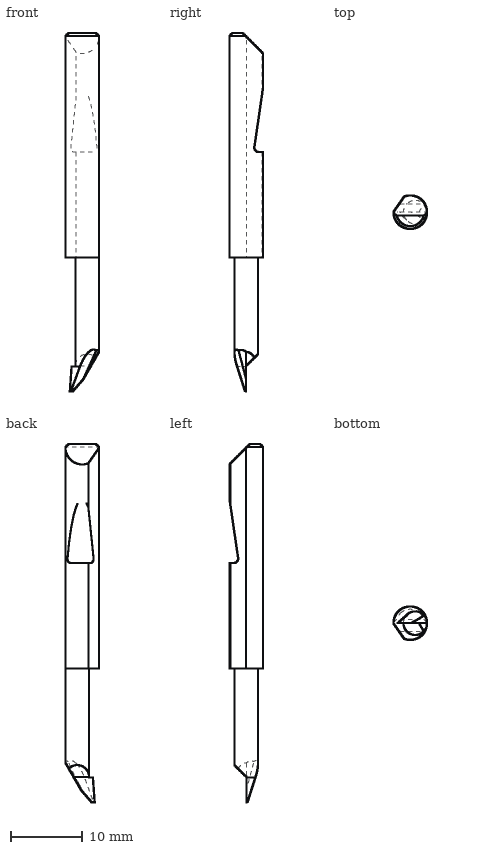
import cadquery as cq
import math

total_length = 50.45
shank_radius = 2.35
shank_bottom = 18.8
end_chamfer = 0.4
end_bevel_low = 47.55

flat_distance = 1.95
flat_direction = 145.0

notch_bottom = 33.7
notch_top = 42.7
notch_floor_y = 1.05
notch_corner_radius = 0.6

neck_radius = 1.65
neck_center_x = shank_radius - neck_radius
neck_bevel_high = 5.25

tip_top = 3.55
tip_top_x = -1.5
point_x = -1.75
tip_depth = 1.8
nose_relief = 0.5
edge_start_z = 1.5
edge_slope = 1.15
edge_relief = 1.8
side_relief = 0.92
heel_x = 2.35
heel_z = 5.55
heel_slope = math.tan(math.radians(60))
heel_relief = 0.8

clear = 60.55


def half_space(point, normal):
    """A block on the side of a plane that its normal points to."""
    return cq.Workplane(cq.Plane(origin=point, normal=normal)).rect(2 * clear, 2 * clear).extrude(clear)


def make_shank():
    shank = (
        cq.Workplane("XY", origin=(0, 0, shank_bottom))
        .circle(shank_radius)
        .extrude(total_length - shank_bottom)
        .faces(">Z")
        .chamfer(end_chamfer)
    )
    shank = shank.cut(half_space((0, shank_radius, end_bevel_low), (0, 1, 1)))

    angle = math.radians(flat_direction)
    flat_normal = (math.cos(angle), math.sin(angle), 0)
    flat_point = (flat_distance * flat_normal[0], flat_distance * flat_normal[1], 0)
    flat = half_space(flat_point, flat_normal)
    return shank.cut(flat).cut(make_notch())


def make_notch():
    """Sloped notch with a square lower shoulder and a rounded inner corner."""
    slope = (shank_radius - notch_floor_y) / (notch_top - notch_bottom)
    outer_y = 2 * shank_radius
    outer_z = notch_bottom + (outer_y - notch_floor_y) / slope
    return (
        cq.Workplane("YZ", origin=(-clear / 2, 0, 0))
        .polyline([(notch_floor_y, notch_bottom), (outer_y, notch_bottom), (outer_y, outer_z)])
        .close()
        .extrude(clear)
        .edges("|X and <Y")
        .fillet(notch_corner_radius)
    )


def make_neck():
    neck = (
        cq.Workplane("XY")
        .center(neck_center_x, 0)
        .circle(neck_radius)
        .extrude(shank_bottom)
    )
    back_bevel = half_space((0, neck_radius, neck_bevel_high), (0, 1, -1))
    back_bevel = back_bevel.intersect(half_space((0, 0, 0), (0, 1, 0)))
    return neck.cut(back_bevel)


def make_tip_blank():
    """Front block below the step, from the rake face back to the neck."""
    return (
        cq.Workplane("XY", origin=(0, 0, -tip_top))
        .moveTo(-shank_radius, -tip_depth)
        .hLineTo(neck_center_x)
        .vLineTo(0)
        .hLineTo(-shank_radius)
        .close()
        .extrude(2 * tip_top)
    )


def grind_tip(body):
    side_lean = (tip_top_x - point_x) / tip_top
    side_face = half_space((point_x, 0, 0), (-1, -side_relief, side_lean))
    side_face = side_face.intersect(half_space((0, 0, tip_top), (0, 0, -1)))
    clearance_face = half_space((0, 0, edge_start_z), (edge_slope, -edge_relief, -1))
    heel_face = half_space((heel_x, 0, heel_z), (heel_slope, -heel_relief, -1))
    heel_back = half_space((heel_x, 0, heel_z), (heel_slope, 0, -1))
    heel_back = heel_back.intersect(half_space((0, 0, 0), (0, 1, 0)))
    body = body.cut(side_face).cut(clearance_face).cut(heel_face).cut(heel_back)
    blunt_nose = half_space((0, 0, 0), (0, -nose_relief, -1))
    return body.cut(blunt_nose)


result = make_shank().union(grind_tip(make_neck().union(make_tip_blank())))